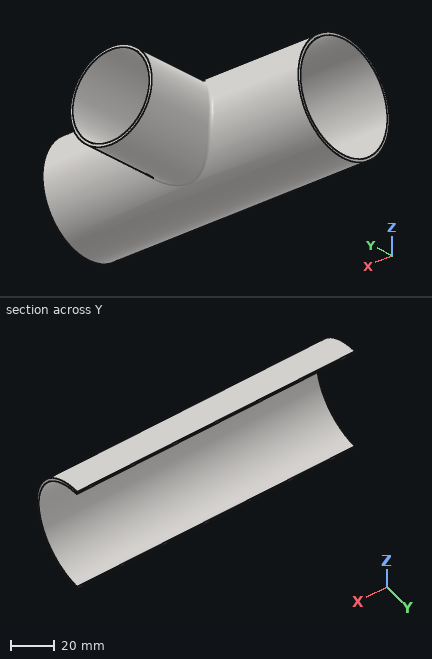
import cadquery as cq

wall = 1.65
run_diameter = 63.5
run_length = 158.75
branch_diameter = 50.8
branch_reach = 73.025
seam_radius = 1.6


def run_cylinder(diameter):
    """Solid cylinder along X, centred on the origin."""
    return cq.Workplane("YZ").circle(diameter / 2).extrude(run_length / 2, both=True)


def branch_cylinder(diameter):
    """Solid cylinder from the run axis to the branch end, along +Y."""
    return cq.Workplane("XZ").circle(diameter / 2).extrude(-branch_reach)


def filleted_body():
    """Outer tee shape with the seam between the two tubes rounded."""
    body = run_cylinder(run_diameter).union(branch_cylinder(branch_diameter))
    seam_zone = cq.selectors.BoxSelector(
        (-branch_diameter, 0, -run_diameter),
        (branch_diameter, run_diameter / 2, run_diameter),
    )
    return body.edges(seam_zone).edges("not %LINE").fillet(seam_radius)


run_bore = run_cylinder(run_diameter - 2 * wall)
branch_bore = branch_cylinder(branch_diameter - 2 * wall)
result = filleted_body().cut(run_bore).cut(branch_bore)